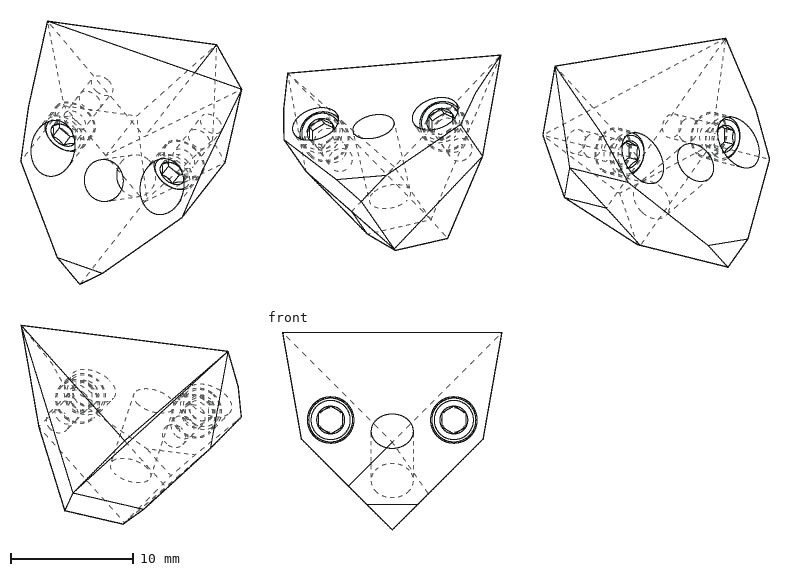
import cadquery as cq
import math

length = 24.15
height = 16.19
width = 18.0
side_angle = 10.0
brow_reach = 5.03
cut_size = 72.48

screw_x = 5.05
screw_z = 9.0
head_top_y = -4.7
head_diameter = 3.6
head_height = 2.0
head_chamfer = 0.2
hex_flats = 1.98
hex_sides = 6
hex_depth = 1.2
shank_diameter = 2.0
shank_length = 4.83
counterbore_diameter = 3.82

front_hole_diameter = 3.45
front_hole_z = 8.1
front_hole_depth = 7.0

half_width = width / 2
side_slope = math.tan(math.radians(side_angle))
corner = (half_width - height * side_slope) / (1 - side_slope)
groove_z = height - half_width
groove_half = groove_z / 2
side_distance = half_width * (1 - side_slope) * math.cos(math.radians(side_angle))
tip_y = half_width * math.sqrt(2)
rear_angle = math.degrees(math.atan2(side_distance, tip_y))
front_y = tip_y - length
brow_z = height - brow_reach
face_slope = math.sqrt(2)
nose_z = brow_z + (front_y + brow_reach) * face_slope
hole_mouth_y = -brow_reach - (brow_z - front_hole_z) / face_slope

normal_across = math.cos(math.radians(rear_angle)) * math.cos(math.radians(side_angle))
normal_down = math.cos(math.radians(rear_angle)) * math.sin(math.radians(side_angle))
normal_back = math.sin(math.radians(rear_angle))
left_rear_normal = (-normal_across, normal_back, -normal_down)
right_rear_normal = (normal_across, normal_back, -normal_down)
end_normal = (-normal_down, normal_back, -normal_across)


def facing_front(x, y, z):
    """Workplane whose normal points to the front, at the given point."""
    return cq.Workplane(cq.Plane(origin=(x, y, z), xDir=(0, 0, -1), normal=(0, -1, 0)))


def trim_rear(body, normal):
    """Cut away everything beyond the plane through the rear tip."""
    plane = cq.Plane(origin=(0, tip_y, groove_z), xDir=(normal[1], -normal[0], 0), normal=normal)
    return body.cut(cq.Workplane(plane).rect(cut_size, cut_size).extrude(cut_size))


def rear_prism(points):
    """Prism with an XZ outline, running back from the rear of the front block."""
    return cq.Workplane("XZ").polyline(points).close().extrude(-length)


def screw_space(x):
    """Counterbore, open to the front, and shank hole for one screw."""
    seat = facing_front(x, head_top_y + head_height, screw_z)
    counterbore = seat.circle(counterbore_diameter / 2).extrude(length)
    return counterbore.union(seat.circle(shank_diameter / 2).extrude(-shank_length))


def make_front_block():
    section = [
        (0, 0), (corner, corner), (half_width, height), (-half_width, height), (-corner, corner),
    ]
    profile = [
        (0, 0), (0, height), (-brow_reach, brow_z), (front_y, nose_z), (front_y, 0),
    ]
    bar = cq.Workplane("XZ").polyline(section).close().extrude(-front_y)
    side = cq.Workplane("YZ").polyline(profile).close().extrude(half_width, both=True)
    block = bar.intersect(side)
    mouth = cq.Plane(
        origin=(0, hole_mouth_y, front_hole_z), xDir=(0, -1, -face_slope), normal=(0, -face_slope, 1)
    )
    hole = cq.Workplane(mouth).circle(front_hole_diameter / 2).extrude(-front_hole_depth)
    block = block.cut(hole)
    for x in (-screw_x, screw_x):
        block = block.cut(screw_space(x))
    return block.solids()


def make_left_arm():
    """Sloping arm that butts against the side of the right arm."""
    arm = rear_prism([
        (-groove_half, groove_half), (0, groove_z), (-half_width, height), (-corner, corner),
    ])
    return trim_rear(arm, left_rear_normal).cut(screw_space(-screw_x)).solids()


def make_right_arm():
    """Sloping arm that runs on past the left arm to the left base slope."""
    arm = rear_prism([
        (0, 0), (corner, corner), (half_width, height), (-groove_half, groove_half),
    ])
    arm = trim_rear(trim_rear(arm, right_rear_normal), end_normal)
    return arm.cut(screw_space(screw_x)).solids()


def make_screw(x):
    """Socket head screw with a chamfered rim and a countersunk hexagon socket."""
    seat = facing_front(x, head_top_y + head_height, screw_z)
    top = facing_front(x, head_top_y, screw_z)
    hex_corners = hex_flats / math.cos(math.pi / hex_sides)
    countersink = (hex_corners - hex_flats) / 2
    head = seat.circle(head_diameter / 2).extrude(head_height).faces("<Y").chamfer(head_chamfer)
    shank = seat.circle(shank_diameter / 2).extrude(-shank_length)
    socket = top.polygon(hex_sides, hex_corners).extrude(-hex_depth)
    cone = top.circle(hex_corners / 2).workplane(offset=-countersink).circle(hex_flats / 2).loft()
    return head.union(shank).cut(socket).cut(cone).solids()


front_block = make_front_block()
left_arm = make_left_arm()
right_arm = make_right_arm()
screws = [make_screw(x) for x in (-screw_x, screw_x)]

result = cq.Compound.makeCompound(
    [front_block.val(), left_arm.val(), right_arm.val()] + [screw.val() for screw in screws]
)